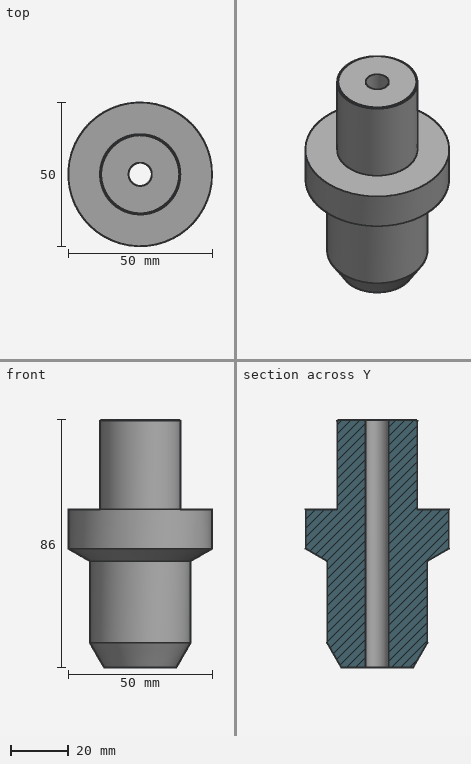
import cadquery as cq
import math

TOTAL_HEIGHT = 86.0
SPIGOT_LENGTH = 31.0
FLANGE_HEIGHT = 18.0

FLANGE_DIAMETER = 50.0
SHANK_DIAMETER = 35.0
TIP_DIAMETER = 25.0
SPIGOT_DIAMETER = 28.0
BORE_DIAMETER = 8.0

TIP_HALF_ANGLE = 30.0
FLANGE_CONE_SLOPE = 30.0
SPIGOT_CHAMFER_WIDTH = 0.5
SPIGOT_CHAMFER_ANGLE = 30.0

flange_radius = FLANGE_DIAMETER / 2
shank_radius = SHANK_DIAMETER / 2
tip_radius = TIP_DIAMETER / 2
spigot_radius = SPIGOT_DIAMETER / 2

tip_cone_top = (shank_radius - tip_radius) / math.tan(math.radians(TIP_HALF_ANGLE))
flange_top = TOTAL_HEIGHT - SPIGOT_LENGTH
shank_top = flange_top - FLANGE_HEIGHT
flange_cone_height = (flange_radius - shank_radius) * math.tan(math.radians(FLANGE_CONE_SLOPE))
flange_cone_top = shank_top + flange_cone_height
spigot_chamfer_height = SPIGOT_CHAMFER_WIDTH * math.tan(math.radians(SPIGOT_CHAMFER_ANGLE))


def turned_body():
    """Solid of revolution: tapered tip, shank, flange and chamfered spigot."""
    half_section = (
        cq.Workplane("XZ")
        .moveTo(0, 0)
        .lineTo(tip_radius, 0)
        .lineTo(shank_radius, tip_cone_top)
        .lineTo(shank_radius, shank_top)
        .lineTo(flange_radius, flange_cone_top)
        .lineTo(flange_radius, flange_top)
        .lineTo(spigot_radius, flange_top)
        .lineTo(spigot_radius, TOTAL_HEIGHT - spigot_chamfer_height)
        .lineTo(spigot_radius - SPIGOT_CHAMFER_WIDTH, TOTAL_HEIGHT)
        .lineTo(0, TOTAL_HEIGHT)
        .close()
    )
    return half_section.revolve(360, (0, 0, 0), (0, 1, 0))


def axial_bore():
    """Cylinder that opens the bore through the full height."""
    return cq.Workplane("XY").circle(BORE_DIAMETER / 2).extrude(TOTAL_HEIGHT)


result = turned_body().cut(axial_bore())